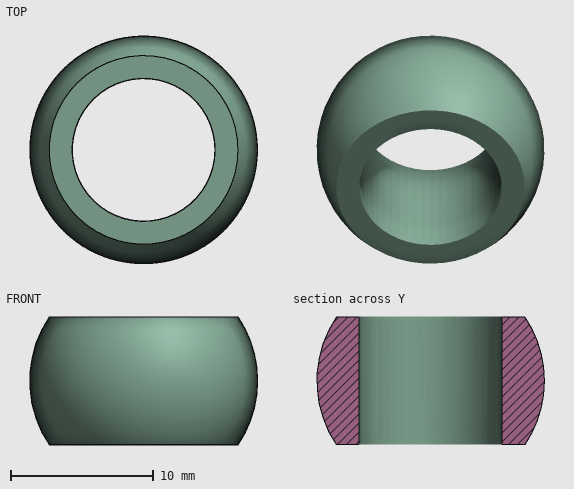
import cadquery as cq

ball_diameter = 16.0
ball_width = 9.0
bore_diameter = 10.0

ball = cq.Workplane("XY").sphere(ball_diameter / 2)
width_slab = cq.Workplane("XY").box(ball_diameter, ball_diameter, ball_width)
truncated_ball = ball.intersect(width_slab)

bore = cq.Workplane("XY").cylinder(ball_width, bore_diameter / 2)

result = truncated_ball.cut(bore)